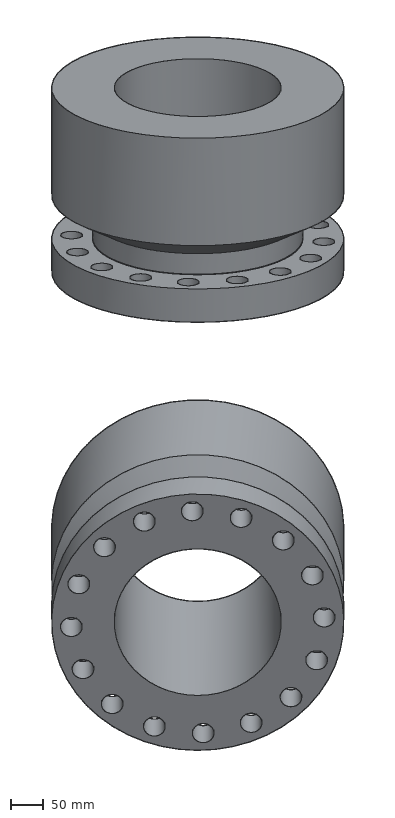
import cadquery as cq

outer_diameter = 444.5
total_height = 298.5
bore_diameter = 253.7

flange_thickness = 54.0
neck_height = 34.0
cone_height = 36.0

neck_diameter = 320.0
raised_face_diameter = 320.5
raised_face_height = 1.0

bolt_count = 16
bolt_circle_diameter = 385.0
bolt_hole_diameter = 33.0

outer_radius = outer_diameter / 2
bore_radius = bore_diameter / 2
neck_radius = neck_diameter / 2
raised_face_radius = raised_face_diameter / 2
raised_face_top = flange_thickness + raised_face_height
cone_bottom = flange_thickness + neck_height
cone_top = cone_bottom + cone_height


def turned_body():
    """Flange, neck, cone and thick upper cylinder, revolved about Z around an open bore."""
    half_section = (
        cq.Workplane("XZ")
        .moveTo(bore_radius, 0)
        .lineTo(outer_radius, 0)
        .lineTo(outer_radius, flange_thickness)
        .lineTo(raised_face_radius, flange_thickness)
        .lineTo(raised_face_radius, raised_face_top)
        .lineTo(neck_radius, raised_face_top)
        .lineTo(neck_radius, cone_bottom)
        .lineTo(outer_radius, cone_top)
        .lineTo(outer_radius, total_height)
        .lineTo(bore_radius, total_height)
        .close()
    )
    return half_section.revolve(360, (0, 0, 0), (0, 1, 0))


def bolt_holes():
    """Ring of vertical cylinders through the full flange thickness."""
    return (
        cq.Workplane("XY")
        .polarArray(bolt_circle_diameter / 2, 0, 360, bolt_count)
        .circle(bolt_hole_diameter / 2)
        .extrude(flange_thickness)
    )


result = turned_body().cut(bolt_holes())